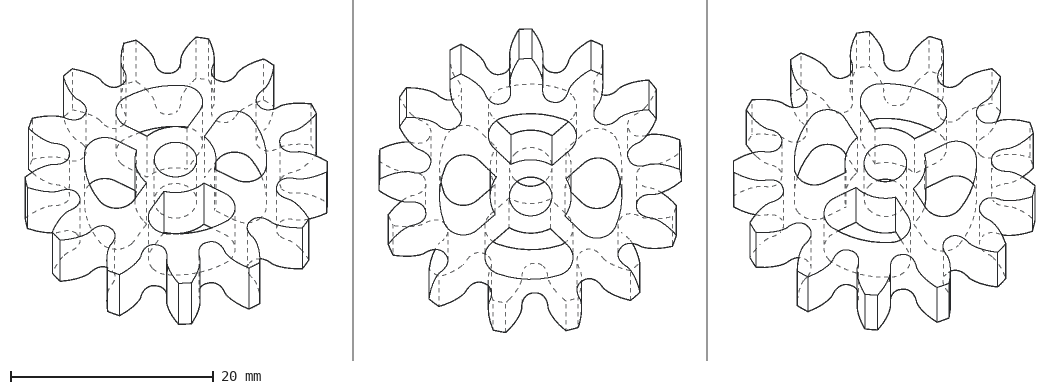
import cadquery as cq
import math

MODULE = 2.0
TOOTH_COUNT = 13
PRESSURE_ANGLE = math.radians(20)
FACE_WIDTH = 7.0
ADDENDUM = MODULE
DEDENDUM = 1.25 * MODULE

BORE_DIAMETER = 4.2
HUB_RADIUS = 4.0
SPOKE_COUNT = 4
SPOKE_WIDTH = 2.0
RIM_INNER_RADIUS = 9.0
WINDOW_CORNER_RADIUS = 2.0

PITCH_RADIUS = MODULE * TOOTH_COUNT / 2
TIP_RADIUS = PITCH_RADIUS + ADDENDUM
ROOT_RADIUS = PITCH_RADIUS - DEDENDUM
BASE_RADIUS = PITCH_RADIUS * math.cos(PRESSURE_ANGLE)
TOOTH_PITCH_ANGLE = 2 * math.pi / TOOTH_COUNT

RACK_TIP_ROUND = 0.38 * MODULE
RACK_ROUND_DEPTH = DEDENDUM - RACK_TIP_ROUND
RACK_ROUND_OFFSET = (
    math.pi * MODULE / 4
    - DEDENDUM * math.tan(PRESSURE_ANGLE)
    - RACK_TIP_ROUND * (1 - math.sin(PRESSURE_ANGLE)) / math.cos(PRESSURE_ANGLE)
)
RACK_ROUND_TRAVEL = RACK_ROUND_DEPTH / math.tan(PRESSURE_ANGLE)

INVOLUTE_AT_PITCH = math.tan(PRESSURE_ANGLE) - PRESSURE_ANGLE
BASE_HALF_ANGLE = TOOTH_PITCH_ANGLE / 4 + INVOLUTE_AT_PITCH

CURVE_POINTS = 9
BISECTION_STEPS = 40


def polar(radius, angle):
    return (radius * math.cos(angle), radius * math.sin(angle))


def involute_half_angle(radius):
    """Half of the angle covered by the tooth between its involutes at a radius."""
    roll = math.sqrt((radius / BASE_RADIUS) ** 2 - 1)
    return BASE_HALF_ANGLE - (roll - math.atan(roll))


def fillet_point(travel):
    """Radius and tooth half angle on the root fillet swept by the rack's tip round."""
    reach = math.hypot(RACK_ROUND_DEPTH, travel)
    stretch = 1 + RACK_TIP_ROUND / reach
    inward = PITCH_RADIUS - RACK_ROUND_DEPTH * stretch
    sideways = travel * stretch
    rotation = (travel - RACK_ROUND_OFFSET) / PITCH_RADIUS
    gap_half_angle = math.atan2(sideways, inward) - rotation
    return math.hypot(inward, sideways), TOOTH_PITCH_ANGLE / 2 - gap_half_angle


def fillet_end_travel():
    """Travel at which the root fillet meets the involute, just outside the base circle."""
    low = 0.0
    high = RACK_ROUND_TRAVEL
    for _ in range(BISECTION_STEPS):
        middle = (low + high) / 2
        radius, half_angle = fillet_point(middle)
        if radius <= BASE_RADIUS or half_angle < involute_half_angle(radius):
            low = middle
        else:
            high = middle
    return high


def fillet_curve():
    """(radius, half angle) pairs from the root circle out to the involute."""
    end = fillet_end_travel()
    return [fillet_point(end * i / (CURVE_POINTS - 1)) for i in range(CURVE_POINTS)]


def involute_curve(start_radius):
    """(radius, half angle) pairs from the end of the root fillet out to the tip."""
    step = (TIP_RADIUS - start_radius) / (CURVE_POINTS - 1)
    radii = [start_radius + step * i for i in range(CURVE_POINTS)]
    return [(radius, involute_half_angle(radius)) for radius in radii]


def place(curve, tooth_angle, side):
    """Points of a flank curve on one side (-1 or +1) of the tooth at the given angle."""
    return [polar(radius, tooth_angle + side * half_angle) for radius, half_angle in curve]


def toothed_blank():
    fillet = fillet_curve()
    fillet_end_radius, _ = fillet[-1]
    involute = involute_curve(fillet_end_radius)
    root_radius, root_half_angle = fillet[0]

    outline = cq.Workplane("XY").moveTo(*polar(root_radius, -root_half_angle))
    for i in range(TOOTH_COUNT):
        tooth_angle = i * TOOTH_PITCH_ANGLE
        tip_middle = polar(TIP_RADIUS, tooth_angle)
        tip_end = place(involute, tooth_angle, 1)[-1]
        gap_middle = polar(ROOT_RADIUS, tooth_angle + TOOTH_PITCH_ANGLE / 2)
        gap_end = polar(root_radius, tooth_angle + TOOTH_PITCH_ANGLE - root_half_angle)

        outline = outline.spline(place(fillet, tooth_angle, -1)[1:], includeCurrent=True)
        outline = outline.spline(place(involute, tooth_angle, -1)[1:], includeCurrent=True)
        outline = outline.threePointArc(tip_middle, tip_end)
        outline = outline.spline(place(involute[::-1], tooth_angle, 1)[1:], includeCurrent=True)
        outline = outline.spline(place(fillet[::-1], tooth_angle, 1)[1:], includeCurrent=True)
        outline = outline.threePointArc(gap_middle, gap_end)
    return outline.close().extrude(FACE_WIDTH)


def window():
    """Opening between the spokes along +X and +Y, rounded at its two rim corners."""
    edge = SPOKE_WIDTH / 2
    hub_reach = math.sqrt(HUB_RADIUS**2 - edge**2)
    corner_offset = edge + WINDOW_CORNER_RADIUS
    corner_reach = math.sqrt((RIM_INNER_RADIUS - WINDOW_CORNER_RADIUS) ** 2 - corner_offset**2)

    rim_angle = math.atan2(corner_offset, corner_reach)
    rim_start = polar(RIM_INNER_RADIUS, rim_angle)
    rim_end = rim_start[::-1]
    diagonal = math.pi / 4

    return (
        cq.Workplane("XY")
        .moveTo(hub_reach, edge)
        .lineTo(corner_reach, edge)
        .tangentArcPoint(rim_start, relative=False)
        .threePointArc(polar(RIM_INNER_RADIUS, diagonal), rim_end)
        .tangentArcPoint((edge, corner_reach), relative=False)
        .lineTo(edge, hub_reach)
        .threePointArc(polar(HUB_RADIUS, diagonal), (hub_reach, edge))
        .close()
        .extrude(FACE_WIDTH)
    )


def cut_bore(body):
    bore = cq.Workplane("XY").circle(BORE_DIAMETER / 2).extrude(FACE_WIDTH)
    return body.cut(bore)


def cut_windows(body):
    opening = window()
    for i in range(SPOKE_COUNT):
        body = body.cut(opening.rotate((0, 0, 0), (0, 0, 1), i * 360 / SPOKE_COUNT))
    return body


result = cut_windows(cut_bore(toothed_blank()))